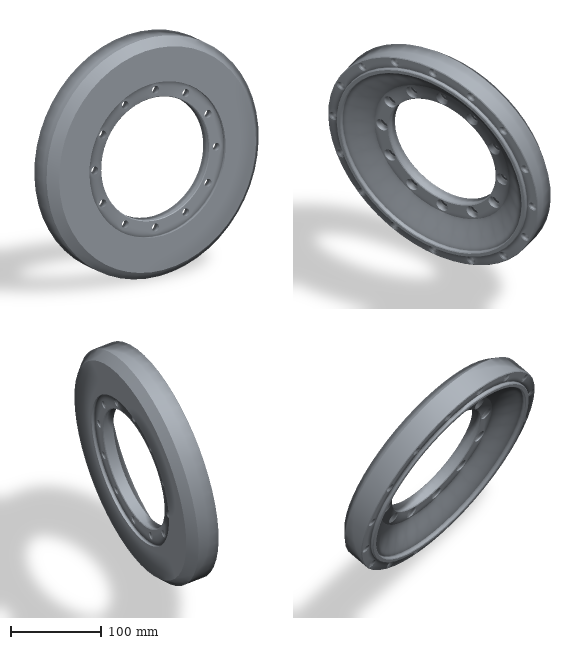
import cadquery as cq
import math

total_width = 40.0
outer_radius = 140.0
edge_break = 0.8
back_chamfer = 10.0

lip_height = 4.2
lip_outer_radius = 126.0
lip_inner_radius = 120.5

mouth_land_end = 5.0
floor_x = 22.5
floor_radius = 90.0
bore_radius = 71.0

back_recess_depth = lip_height
back_recess_radius = floor_radius
flange_back_x = total_width - back_recess_depth

flange_hole_count = 12
flange_circle_radius = 80.0
flange_hole_diameter = 9.0
counterbore_diameter = 15.0
counterbore_depth = 8.5

rim_hole_count = 16
rim_circle_radius = 133.0
rim_hole_diameter = 8.5
rim_hole_depth = 20.0
drill_tip_angle = 118.0
countersink_diameter = 10.5


def revolve_about_x(profile):
    """Revolve a closed profile of (x, radius) points about the X axis."""
    return cq.Workplane("XZ").polyline(profile).close().revolve(360, (0, 0, 0), (1, 0, 0))


def ring_body():
    """Solid ring with lip, conical recess, bore and back recess, from its half section."""
    return revolve_about_x([
        (floor_x, bore_radius + edge_break),
        (floor_x, floor_radius),
        (mouth_land_end, lip_inner_radius),
        (edge_break, lip_inner_radius),
        (0, lip_inner_radius + edge_break),
        (0, lip_outer_radius - edge_break),
        (edge_break, lip_outer_radius),
        (lip_height, lip_outer_radius),
        (lip_height, outer_radius - edge_break),
        (lip_height + edge_break, outer_radius),
        (total_width - back_chamfer, outer_radius),
        (total_width, outer_radius - back_chamfer),
        (total_width, back_recess_radius),
        (flange_back_x, back_recess_radius),
        (flange_back_x, bore_radius + edge_break),
        (flange_back_x - edge_break, bore_radius),
        (floor_x + edge_break, bore_radius),
    ])


def flange_hole_cutter():
    hole_radius = flange_hole_diameter / 2
    counterbore_radius = counterbore_diameter / 2
    counterbore_floor = floor_x + counterbore_depth
    return revolve_about_x([
        (floor_x, 0),
        (floor_x, counterbore_radius),
        (counterbore_floor, counterbore_radius),
        (counterbore_floor, hole_radius),
        (flange_back_x, hole_radius),
        (flange_back_x, 0),
    ])


def rim_hole_cutter():
    hole_radius = rim_hole_diameter / 2
    countersink_radius = countersink_diameter / 2
    countersink_depth = countersink_radius - hole_radius
    tip_length = hole_radius / math.tan(math.radians(drill_tip_angle / 2))
    hole_end = lip_height + rim_hole_depth
    return revolve_about_x([
        (lip_height, 0),
        (lip_height, countersink_radius),
        (lip_height + countersink_depth, hole_radius),
        (hole_end, hole_radius),
        (hole_end + tip_length, 0),
    ])


def cut_circle_of_holes(body, cutter, count, circle_radius):
    """Cut equally spaced holes around the X axis, the first one at the top."""
    first_hole = cutter.translate((0, 0, circle_radius))
    for index in range(count):
        body = body.cut(first_hole.rotate((0, 0, 0), (1, 0, 0), index * 360 / count))
    return body


result = ring_body()
result = cut_circle_of_holes(result, flange_hole_cutter(), flange_hole_count, flange_circle_radius)
result = cut_circle_of_holes(result, rim_hole_cutter(), rim_hole_count, rim_circle_radius)